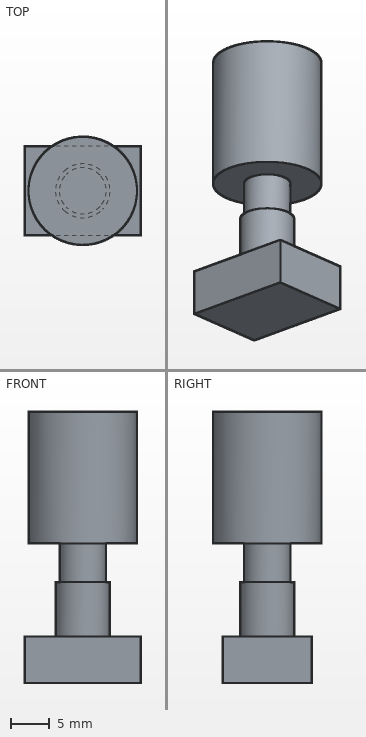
import cadquery as cq

foot_length = 15.0
foot_width = 11.5
foot_height = 6.0

shank_diameter = 7.0
shank_height = 7.0
neck_diameter = 6.0
neck_height = 5.0
head_diameter = 14.0
head_height = 17.0


def add_cylinder(body, diameter, height):
    """Extend the body upward with a cylinder centred on its top face."""
    return body.faces(">Z").workplane(origin=(0, 0, 0)).circle(diameter / 2).extrude(height)


result = cq.Workplane("XY").box(foot_length, foot_width, foot_height, centered=(True, True, False))
result = add_cylinder(result, shank_diameter, shank_height)
result = add_cylinder(result, neck_diameter, neck_height)
result = add_cylinder(result, head_diameter, head_height)